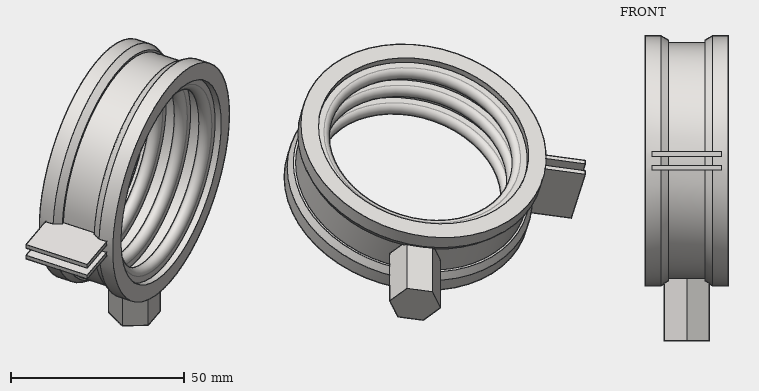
import cadquery as cq
import math


lining_width = 24.0
rim_radius = 36.18
bore_radius = 31.0
rib_pitch = 8.0
rib_tip_radius = 2.0
rib_crest_radius = 27.0
rib_positions = [-rib_pitch, 0.0, rib_pitch]
lip_land_width = 4.5
lip_edge_half_gap = 5.2
lip_slope_angle = 30.0

band_width = 20.0
band_thickness = 1.35
band_outer_radius = 34.2
tab_gap = 2.6
tab_end = rim_radius + 12.0

nut_across_flats = 13.0
nut_bottom = -52.01
nut_height = 18.0

half_width = lining_width / 2
band_inner_radius = band_outer_radius - band_thickness
lip_top_half_gap = half_width - lip_land_width
lip_slope_run = lip_top_half_gap - lip_edge_half_gap
lip_edge_radius = rim_radius - lip_slope_run * math.tan(math.radians(lip_slope_angle))
rib_center_radius = rib_crest_radius + rib_tip_radius
nut_across_corners = nut_across_flats / math.cos(math.pi / 6)
tab_root = (band_inner_radius + band_outer_radius) / 2
tab_length = tab_end - tab_root
tab_offset = (tab_gap + band_thickness) / 2


def revolve_about_x(profile):
    """Turn a profile, drawn as (x, radius), a full circle about the X axis."""
    return profile.close().revolve(360, (0, 0, 0), (1, 0, 0))


def tube(width, inner_radius, outer_radius):
    """Plain ring about the X axis, centred on the origin."""
    start = cq.Workplane("YZ", origin=(-width / 2, 0, 0))
    return start.circle(outer_radius).circle(inner_radius).extrude(width)


def make_band(nut):
    """Closed band with a pair of flat tabs pointing to -Y, and a shallow flat seat for the nut."""
    band = tube(band_width, band_inner_radius, band_outer_radius)
    for side in (1, -1):
        tab = cq.Workplane("XY").box(band_width, tab_length, band_thickness)
        tab_center = (0, -(tab_root + tab_length / 2), side * tab_offset)
        band = band.union(tab.translate(tab_center))
    return band.cut(nut)


def make_nut():
    """Plain hexagonal prism whose flat top is let slightly into the band, with two flats facing X."""
    hexagon = cq.Workplane("XY", origin=(0, 0, nut_bottom)).polygon(6, nut_across_corners)
    return hexagon.extrude(nut_height).rotate((0, 0, 0), (0, 0, 1), 90)


def make_rib(x):
    """Inner sealing rib with a rounded crest."""
    profile = (
        cq.Workplane("XY")
        .moveTo(x - rib_tip_radius, bore_radius)
        .lineTo(x - rib_tip_radius, rib_center_radius)
        .threePointArc((x, rib_crest_radius), (x + rib_tip_radius, rib_center_radius))
        .lineTo(x + rib_tip_radius, bore_radius)
    )
    return revolve_about_x(profile)


def make_lining(band, nut):
    """Ribbed lining whose two lips wrap around the edges of the band."""
    profile = (
        cq.Workplane("XY")
        .moveTo(-half_width, bore_radius)
        .lineTo(-half_width, rim_radius)
        .lineTo(-lip_top_half_gap, rim_radius)
        .lineTo(-lip_edge_half_gap, lip_edge_radius)
        .lineTo(-lip_edge_half_gap, band_outer_radius)
        .lineTo(lip_edge_half_gap, band_outer_radius)
        .lineTo(lip_edge_half_gap, lip_edge_radius)
        .lineTo(lip_top_half_gap, rim_radius)
        .lineTo(half_width, rim_radius)
        .lineTo(half_width, bore_radius)
    )
    lining = revolve_about_x(profile)
    for x in rib_positions:
        lining = lining.union(make_rib(x))
    return lining.cut(band).cut(nut)


nut = make_nut()
band = make_band(nut)
lining = make_lining(band, nut)

result = cq.Compound.makeCompound([lining.solids().val(), band.solids().val(), nut.solids().val()])